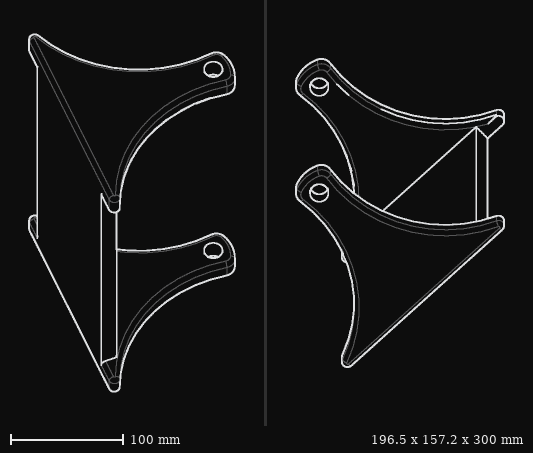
import cadquery as cq
import math

width = 196.5
depth = 157.2
height = 300.0

wall_width = 150.0
wall_thickness = 15.0

plate_thickness = 20.0
edge_radius = 4.2
tip_radius = 5.0
waist_half_width = 17.5
waist_y = 126.0
shoulder_radius = 10.0
shoulder_y = 145.5
hole_diameter = 16.5
hole_y = 139.0

tip_x = width / 2 - tip_radius

tip_reach = tip_x - waist_half_width
tip_drop = waist_y - tip_radius
flank_radius = (tip_reach**2 + tip_drop**2 - tip_radius**2) / (2 * (tip_reach + tip_radius))
flank_x = waist_half_width + flank_radius

shoulder_gap = flank_radius + shoulder_radius
shoulder_x = flank_x - math.sqrt(shoulder_gap**2 - (shoulder_y - waist_y) ** 2)

shoulder_drop = depth - shoulder_y
crown_radius = (shoulder_x**2 + shoulder_drop**2 - shoulder_radius**2) / (
    2 * (shoulder_drop - shoulder_radius)
)
crown_y = depth - crown_radius


def point_toward(start, target, distance):
    """Point at a given distance from start on the line toward target."""
    dx = target[0] - start[0]
    dy = target[1] - start[1]
    length = math.hypot(dx, dy)
    return (start[0] + distance * dx / length, start[1] + distance * dy / length)


def mirrored(point):
    return (-point[0], point[1])


tip_center = (tip_x, tip_radius)
flank_center = (flank_x, waist_y)
shoulder_center = (shoulder_x, shoulder_y)

tip_start = (tip_x, 0)
tip_middle = (tip_x + tip_radius, tip_radius)
tip_end = point_toward(flank_center, tip_center, flank_radius)
flank_end = point_toward(flank_center, shoulder_center, flank_radius)
flank_chord_middle = ((tip_end[0] + flank_end[0]) / 2, (tip_end[1] + flank_end[1]) / 2)
flank_middle = point_toward(flank_center, flank_chord_middle, flank_radius)
shoulder_end = point_toward((0, crown_y), shoulder_center, crown_radius)
shoulder_chord_middle = (
    (flank_end[0] + shoulder_end[0]) / 2,
    (flank_end[1] + shoulder_end[1]) / 2,
)
shoulder_middle = point_toward(shoulder_center, shoulder_chord_middle, shoulder_radius)


def make_plate(bottom):
    """Square-edged end plate with its underside at the given height."""
    return (
        cq.Workplane("XY", origin=(0, 0, bottom))
        .moveTo(*mirrored(tip_start))
        .lineTo(*tip_start)
        .threePointArc(tip_middle, tip_end)
        .threePointArc(flank_middle, flank_end)
        .threePointArc(shoulder_middle, shoulder_end)
        .threePointArc((0, depth), mirrored(shoulder_end))
        .threePointArc(mirrored(shoulder_middle), mirrored(flank_end))
        .threePointArc(mirrored(flank_middle), mirrored(tip_end))
        .threePointArc(mirrored(tip_middle), mirrored(tip_start))
        .close()
        .extrude(plate_thickness)
    )


def make_rounded_plate(bottom):
    return make_plate(bottom).faces("<Z or >Z").edges().fillet(edge_radius)


def make_square_front_strip(bottom):
    """Lower half of the plate's front strip, with square edges up to the tip ends."""
    strip = cq.Workplane("XY", origin=(0, 0, bottom)).box(
        width, tip_end[1], plate_thickness / 2, centered=(True, False, False)
    )
    return make_plate(bottom).intersect(strip)


def make_wall():
    return cq.Workplane("XY").box(
        wall_width, wall_thickness, height - 2 * edge_radius, centered=(True, False, False)
    ).translate((0, 0, edge_radius))


upper_bottom = height - plate_thickness
lower_plate = make_rounded_plate(0)
upper_plate = make_rounded_plate(upper_bottom).union(make_square_front_strip(upper_bottom))
holes = cq.Workplane("XY").center(0, hole_y).circle(hole_diameter / 2).extrude(height)

result = lower_plate.union(upper_plate).union(make_wall()).cut(holes)